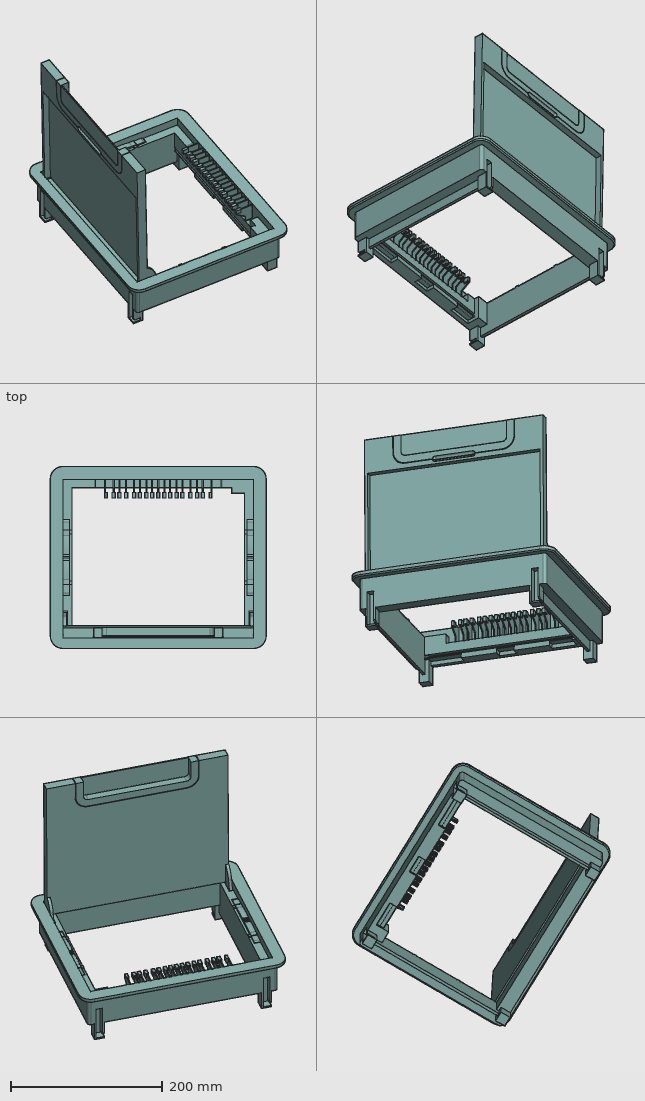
import cadquery as cq

FLANGE_X = 286.0
FLANGE_Y = 241.0
FLANGE_HEIGHT = 6.3
FLANGE_CORNER = 17.0
FLANGE_CHAMFER = 1.7
WALL_X = 263.5
WALL_Y = 220.0
WALL_CORNER = 4.3
WALL_BOTTOM = -49.8
OPENING_HALF_X = 126.0
OPENING_FRONT = -106.5
OPENING_BACK = 103.2

LEDGE_TOP = -12.3
LEDGE_INNER_X = 114.0
LEDGE_INNER_Y = 92.0
CORNER_BLOCK_INNER_X = 83.2
CORNER_BLOCK_ROUND = 1.5
STEP_BLOCK_INNER_X = 97.0
STEP_BLOCK_FRONT = 84.6

TRAY_TOP = -25.5
TRAY_BOTTOM = -38.5
TRAY_GROOVE_DEPTH = 5.7
LIP_TOP = -42.5
LIP_THICKNESS = 1.5
TAB_INNER_X = 12.3
TAB_OUTER_X = 62.0

RIB_THICKNESS = 1.5
RIB_TOP = -1.0
RIB_TIP_Y = 78.4
RIB_TIP_HEIGHT = 7.0
RIB_NECK_Z = -17.2
HEAD_WIDTH = 4.5
HEAD_LENGTH = 7.7
END_HEAD_WIDTH = 3.7
RIB_OFFSETS = (8.0, 15.7, 24.3, 32.0, 42.5, 51.5, 59.0)
END_RIB_OFFSET = 70.3

PAD_WIDTH = 8.5
PAD_HALF_LENGTH = 50.3
PAD_BASE_HEIGHT = 1.7
PAD_END_SLOPE_LENGTH = 3.5
PAD_END_SLOPE_HEIGHT = 1.0
PAD_STEP_OUTER = 36.0
PAD_STEP_HEIGHT = 1.0
ARCH_INNER = 4.0
ARCH_OUTER = 29.0
ARCH_RISE = 1.0
PAD_RIB_WIDTH = 2.0
STOP_INNER = 31.0
STOP_OUTER = 36.0
STOP_HEIGHT = 1.5

LEG_BOTTOM = -75.5
LEG_TOP = -23.0
LEG_WIDTH = 14.0
LEG_OUTER_X = 122.7
LEG_DEPTH = 14.3
CHANNEL_INSET = 2.3
CHANNEL_WIDTH = 9.0
CHANNEL_DEPTH = 11.0
CHANNEL_TOP = -26.0
CHANNEL_FLOOR = 2.3
HOOK_HEIGHT = 3.5
HOOK_LEAD_IN = 2.3
SKIRT_BOTTOM = -64.5
SKIRT_OUTER_X = 117.8

LID_TILT = 1.0
LID_FRONT_Y = -103.0
LID_HALF_X = 125.8
LID_THICKNESS = 13.0
LID_TOP = 194.0
LID_BOTTOM = -12.0
PANEL_HALF_X = 121.5
PANEL_TOP = 145.8
PANEL_DEPTH = 8.5
ARM_THICKNESS = 4.3
ARM_TOP = 16.5
ARM_BOTTOM = -15.5
ARM_REACH = 29.7
ARM_REACH_AT_FLANGE = 25.7
ARM_MID_Y = 21.6
ARM_MID_Z = 9.0
POCKET_WIDTH = 6.0
POCKET_BACK = -70.5
POCKET_FLOOR = -16.3

FLAP_GAP = 1.0
FLAP_HALF_X = 85.0
FLAP_BOTTOM = 153.5
FLAP_CORNER = 16.5
FLAP_RIM = 10.5
FLAP_SKIN = 2.3
FLAP_FACE_STEP = 0.5
GRIP_HALF_X = 30.0
GRIP_RADIUS = 3.7


def box(x0, x1, y0, y1, z0, z1):
    """A box given by its limits along the three axes."""
    return cq.Workplane("XY").box(x1 - x0, y1 - y0, z1 - z0, centered=False).translate((x0, y0, z0))


def yz_plate(points, x0, thickness):
    """A plate with a closed YZ outline, starting at x0 and growing along +X."""
    return cq.Workplane("YZ").polyline(points).close().extrude(thickness).translate((x0, 0, 0))


def with_mirror(solid):
    """A solid together with its copy on the other side of X = 0."""
    return solid.union(solid.mirror("YZ"))



def make_shell():
    """Flange and wall, open through the middle."""
    flange = (
        cq.Workplane("XY").rect(FLANGE_X, FLANGE_Y).extrude(-FLANGE_HEIGHT)
        .edges("|Z").fillet(FLANGE_CORNER)
        .faces("<Z").edges().chamfer(FLANGE_CHAMFER)
    )
    wall = cq.Workplane("XY").rect(WALL_X, WALL_Y).extrude(WALL_BOTTOM).edges("|Z").fillet(WALL_CORNER)
    opening = box(-OPENING_HALF_X, OPENING_HALF_X, OPENING_FRONT, OPENING_BACK, WALL_BOTTOM, 0)
    return flange.union(wall).cut(opening)


def make_ledges():
    """Ledges on both sides and at the front, with blocks in the two back corners."""
    side = box(LEDGE_INNER_X, OPENING_HALF_X, OPENING_FRONT, OPENING_BACK, WALL_BOTTOM, LEDGE_TOP)
    corner = box(
        CORNER_BLOCK_INNER_X, OPENING_HALF_X, LEDGE_INNER_Y, OPENING_BACK, TRAY_BOTTOM, LEDGE_TOP
    ).edges("|Y and <X and >Z").fillet(CORNER_BLOCK_ROUND)
    step_block = box(
        STEP_BLOCK_INNER_X, OPENING_HALF_X, STEP_BLOCK_FRONT, OPENING_BACK, WALL_BOTTOM, LEDGE_TOP
    )
    pocket = box(
        OPENING_HALF_X - POCKET_WIDTH, OPENING_HALF_X, OPENING_FRONT, POCKET_BACK, POCKET_FLOOR, LEDGE_TOP
    )
    front = box(
        -LEDGE_INNER_X, LEDGE_INNER_X, OPENING_FRONT, -LEDGE_INNER_Y, WALL_BOTTOM, LEDGE_TOP
    )
    return with_mirror(side.cut(pocket).union(corner)).union(step_block).union(front)


def make_tray():
    """Tray along the back wall, with a groove under it and a lip carrying two tabs."""
    tray = box(-OPENING_HALF_X, OPENING_HALF_X, LEDGE_INNER_Y, OPENING_BACK, TRAY_BOTTOM, TRAY_TOP)
    groove_back = box(
        -OPENING_HALF_X, OPENING_HALF_X, LEDGE_INNER_Y + TRAY_GROOVE_DEPTH, OPENING_BACK, LIP_TOP, TRAY_BOTTOM
    )
    lip_bottom = LIP_TOP - LIP_THICKNESS
    lip = box(-OPENING_HALF_X, OPENING_HALF_X, LEDGE_INNER_Y, OPENING_BACK, lip_bottom, LIP_TOP)
    tab = box(TAB_INNER_X, TAB_OUTER_X, LEDGE_INNER_Y, OPENING_BACK, WALL_BOTTOM, lip_bottom)
    return tray.union(groove_back).union(lip).union(with_mirror(tab))


def make_rib(x, head_start, head_width):
    """One comb rib centred at x, with a wider head at its free end."""
    profile = [
        (OPENING_BACK, TRAY_TOP),
        (LEDGE_INNER_Y, TRAY_TOP),
        (LEDGE_INNER_Y, RIB_NECK_Z),
        (RIB_TIP_Y, RIB_TOP - RIB_TIP_HEIGHT),
        (RIB_TIP_Y, RIB_TOP),
        (OPENING_BACK, RIB_TOP),
    ]
    plate = yz_plate(profile, x - RIB_THICKNESS / 2, RIB_THICKNESS)
    head = box(
        head_start, head_start + head_width,
        RIB_TIP_Y, RIB_TIP_Y + HEAD_LENGTH,
        RIB_TOP - RIB_TIP_HEIGHT, RIB_TOP,
    )
    return plate.union(head)


def make_comb():
    """All comb ribs: one in the middle and the rest in mirrored pairs."""
    comb = make_rib(0, -HEAD_WIDTH / 2, HEAD_WIDTH)
    for offset in RIB_OFFSETS:
        comb = comb.union(with_mirror(make_rib(offset, offset - HEAD_WIDTH / 2, HEAD_WIDTH)))
    end_head_start = END_RIB_OFFSET + RIB_THICKNESS / 2 - END_HEAD_WIDTH
    return comb.union(with_mirror(make_rib(END_RIB_OFFSET, end_head_start, END_HEAD_WIDTH)))


def make_latch_pads():
    """Stepped pads with two gentle arches on each side ledge, and small stops beside them."""
    inner_x = OPENING_HALF_X - PAD_WIDTH
    base_top = LEDGE_TOP + PAD_BASE_HEIGHT
    step_top = base_top + PAD_STEP_HEIGHT
    slope_start_z = base_top - PAD_END_SLOPE_HEIGHT
    slope_start_y = PAD_HALF_LENGTH - PAD_END_SLOPE_LENGTH
    base_profile = [
        (-PAD_HALF_LENGTH, LEDGE_TOP),
        (PAD_HALF_LENGTH, LEDGE_TOP),
        (PAD_HALF_LENGTH, slope_start_z),
        (slope_start_y, base_top),
        (-slope_start_y, base_top),
        (-PAD_HALF_LENGTH, slope_start_z),
    ]
    pads = yz_plate(base_profile, inner_x, PAD_WIDTH)
    arch = (
        cq.Workplane("YZ")
        .moveTo(ARCH_INNER, step_top)
        .threePointArc(((ARCH_INNER + ARCH_OUTER) / 2, step_top + ARCH_RISE), (ARCH_OUTER, step_top))
        .close()
        .extrude(PAD_WIDTH)
        .translate((inner_x, 0, 0))
    )
    step = box(inner_x, OPENING_HALF_X, ARCH_INNER, PAD_STEP_OUTER, base_top, step_top)
    stop = box(LEDGE_INNER_X, inner_x, STOP_INNER, STOP_OUTER, LEDGE_TOP, LEDGE_TOP + STOP_HEIGHT)
    for feature in (step, arch, stop):
        pads = pads.union(feature).union(feature.mirror("XZ"))
    middle_rib = box(inner_x, OPENING_HALF_X, -PAD_RIB_WIDTH / 2, PAD_RIB_WIDTH / 2, base_top, step_top)
    return with_mirror(pads.union(middle_rib))


def make_leg(x0):
    """A leg at the -Y side, starting at x0."""
    front = -WALL_Y / 2
    return box(x0, x0 + LEG_WIDTH, front, front + LEG_DEPTH, LEG_BOTTOM, LEG_TOP)


def make_leg_channel(x0, channel_inset):
    """Channel in the outer face of such a leg, with a hook-shaped opening to its +X side at the foot."""
    front = -WALL_Y / 2
    channel_x = x0 + channel_inset
    floor = LEG_BOTTOM + CHANNEL_FLOOR
    hook_top = floor + HOOK_HEIGHT
    channel = box(
        channel_x, channel_x + CHANNEL_WIDTH, front, front + CHANNEL_DEPTH, floor, CHANNEL_TOP
    )
    hook_profile = [
        (front, floor),
        (front + CHANNEL_DEPTH, floor),
        (front + CHANNEL_DEPTH, hook_top),
        (front + HOOK_LEAD_IN, hook_top),
        (front, hook_top + HOOK_LEAD_IN),
    ]
    hook = yz_plate(hook_profile, channel_x, x0 + LEG_WIDTH - channel_x)
    return channel.union(hook)


def add_legs(frame):
    """Four channelled legs: two at the -Y side, and the same two turned half round to the +Y side."""
    left_x = -LEG_OUTER_X
    right_x = LEG_OUTER_X - LEG_WIDTH
    right_inset = LEG_WIDTH - CHANNEL_INSET - CHANNEL_WIDTH
    legs = make_leg(left_x).union(make_leg(right_x))
    channels = make_leg_channel(left_x, CHANNEL_INSET).union(make_leg_channel(right_x, right_inset))
    for turn in (0, 180):
        frame = frame.union(legs.rotate((0, 0, 0), (0, 0, 1), turn))
    for turn in (0, 180):
        frame = frame.cut(channels.rotate((0, 0, 0), (0, 0, 1), turn))
    return frame


def make_skirts():
    """Thin skirts below the side ledges, running from leg to leg."""
    half_y = WALL_Y / 2 - LEG_DEPTH
    return with_mirror(box(LEDGE_INNER_X, SKIRT_OUTER_X, -half_y, half_y, SKIRT_BOTTOM, WALL_BOTTOM))


def make_frame():
    frame = make_shell()
    for part in (make_ledges(), make_tray(), make_comb(), make_latch_pads(), make_skirts()):
        frame = frame.union(part)
    return add_legs(frame)



def open_position(solid):
    """Leans an upright lid part outward and moves it to the hinge side of the frame."""
    return solid.rotate((0, 0, 0), (1, 0, 0), LID_TILT).translate((0, LID_FRONT_Y, 0))


def flap_outline(half_x, bottom, corner, y0, y1):
    """A block from y0 to y1 that reaches the lid's top edge and has two rounded lower corners."""
    return box(-half_x, half_x, y0, y1, bottom, LID_TOP).edges("|Y and <Z").fillet(corner)


def make_grip():
    """Round-ended cylinder that hollows a finger grip out of the outer face."""
    barrel = cq.Workplane("YZ").circle(GRIP_RADIUS).extrude(GRIP_HALF_X - GRIP_RADIUS, both=True)
    for side in (-1, 1):
        end = cq.Workplane("XY").sphere(GRIP_RADIUS)
        barrel = barrel.union(end.translate((side * (GRIP_HALF_X - GRIP_RADIUS), 0, 0)))
    return barrel.translate((0, 0, FLAP_BOTTOM - FLAP_GAP / 2))


def make_hinge_arm():
    """Rounded arm behind the lid at its +X end, reaching down into the ledge pocket."""
    return (
        cq.Workplane("YZ")
        .moveTo(LID_THICKNESS, ARM_TOP)
        .threePointArc((ARM_MID_Y, ARM_MID_Z), (ARM_REACH_AT_FLANGE, 0))
        .lineTo(ARM_REACH, ARM_BOTTOM)
        .lineTo(LID_THICKNESS, ARM_BOTTOM)
        .close()
        .extrude(ARM_THICKNESS)
        .translate((LID_HALF_X - ARM_THICKNESS, 0, 0))
    )


def make_lid():
    lid = box(-LID_HALF_X, LID_HALF_X, 0, LID_THICKNESS, LID_BOTTOM, LID_TOP)
    panel_recess = box(-PANEL_HALF_X, PANEL_HALF_X, 0, PANEL_DEPTH, LID_BOTTOM, PANEL_TOP)
    flap_cutout = flap_outline(
        FLAP_HALF_X + FLAP_GAP, FLAP_BOTTOM - FLAP_GAP, FLAP_CORNER + FLAP_GAP, 0, LID_THICKNESS
    )
    lid = lid.cut(panel_recess).cut(flap_cutout).cut(make_grip())
    return open_position(lid.union(with_mirror(make_hinge_arm())))


def make_flap():
    """U-shaped rim whose middle is closed only by a thin skin near the outer face."""
    flap = flap_outline(FLAP_HALF_X, FLAP_BOTTOM, FLAP_CORNER, 0, LID_THICKNESS)
    inner_half_x = FLAP_HALF_X - FLAP_RIM
    inner_bottom = FLAP_BOTTOM + FLAP_RIM
    inner_corner = FLAP_CORNER - FLAP_RIM
    face_step = flap_outline(inner_half_x, inner_bottom, inner_corner, 0, FLAP_FACE_STEP)
    cavity = flap_outline(inner_half_x, inner_bottom, inner_corner, FLAP_SKIN, LID_THICKNESS)
    return open_position(flap.cut(face_step).cut(cavity).cut(make_grip()))


frame = make_frame()
lid = make_lid()
flap = make_flap()

result = cq.Compound.makeCompound([frame.solids().val(), lid.solids().val(), flap.solids().val()])